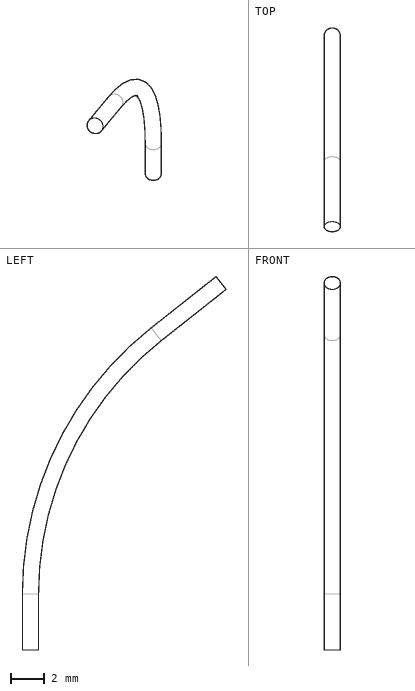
import cadquery as cq
import math

height = 22.6
depth = 12.35
rod_diameter = 1.0
bend_radius = 20.0
bend_angle = math.radians(51.7)

rod_radius = rod_diameter / 2
sine = math.sin(bend_angle)
cosine = math.cos(bend_angle)

bend_reach = bend_radius * (1 - cosine)
bend_rise = bend_radius * sine
tip_length = (depth - rod_radius * (1 + cosine) - bend_reach) / sine
base_length = height - bend_rise - tip_length * cosine - rod_radius * sine


def bend_point(angle):
    """Centreline point (Y, Z) at an angle along the bend, which leans toward -Y."""
    return (
        -bend_radius * (1 - math.cos(angle)),
        base_length + bend_radius * math.sin(angle),
    )


bend_end = bend_point(bend_angle)
tip_end = (bend_end[0] - tip_length * sine, bend_end[1] + tip_length * cosine)
centreline = (
    cq.Workplane("YZ")
    .lineTo(0, base_length)
    .threePointArc(bend_point(bend_angle / 2), bend_end)
    .lineTo(*tip_end)
)

result = cq.Workplane("XY").circle(rod_radius).sweep(centreline)